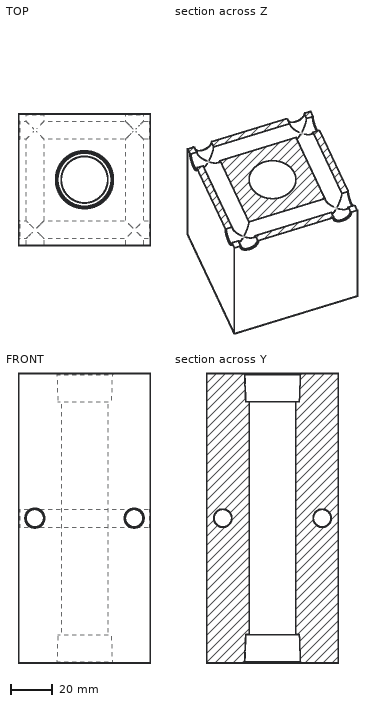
import cadquery as cq

height = 139.7
width = 63.5

bore_diameter = 22.4
port_mouth_diameter = 26.7
port_floor_diameter = 25.7
port_depth = 13.7
port_chamfer = 0.63

hole_diameter = 8.5
hole_chamfer = 0.49
hole_spacing = 47.9


def axial_bore():
    """Cutter for the bore and both end ports, revolved from one half profile."""
    end = height / 2
    chamfer_end = end - port_chamfer
    floor = end - port_depth
    mouth_radius = port_mouth_diameter / 2
    upper_half = (
        cq.Workplane("XZ")
        .lineTo(bore_diameter / 2, 0)
        .lineTo(bore_diameter / 2, floor)
        .lineTo(port_floor_diameter / 2, floor)
        .lineTo(mouth_radius, chamfer_end)
        .lineTo(mouth_radius + port_chamfer, end)
        .lineTo(0, end)
        .close()
        .revolve(360, (0, 0, 0), (0, 1, 0))
    )
    return upper_half.union(upper_half.mirror("XY"))


def cross_hole():
    """Cutter along Z through the block width, chamfered where it breaks out."""
    end = width / 2
    radius = hole_diameter / 2
    return (
        cq.Workplane("XZ")
        .moveTo(0, -end)
        .lineTo(radius + hole_chamfer, -end)
        .lineTo(radius, -end + hole_chamfer)
        .lineTo(radius, end - hole_chamfer)
        .lineTo(radius + hole_chamfer, end)
        .lineTo(0, end)
        .close()
        .revolve(360, (0, 0, 0), (0, 1, 0))
    )


result = cq.Workplane("XY").box(width, width, height).cut(axial_bore())

hole_along_x = cross_hole().rotate((0, 0, 0), (0, 1, 0), 90)
hole_along_y = cross_hole().rotate((0, 0, 0), (1, 0, 0), 90)
for offset in (-hole_spacing / 2, hole_spacing / 2):
    result = result.cut(hole_along_x.translate((0, offset, 0)))
    result = result.cut(hole_along_y.translate((offset, 0, 0)))